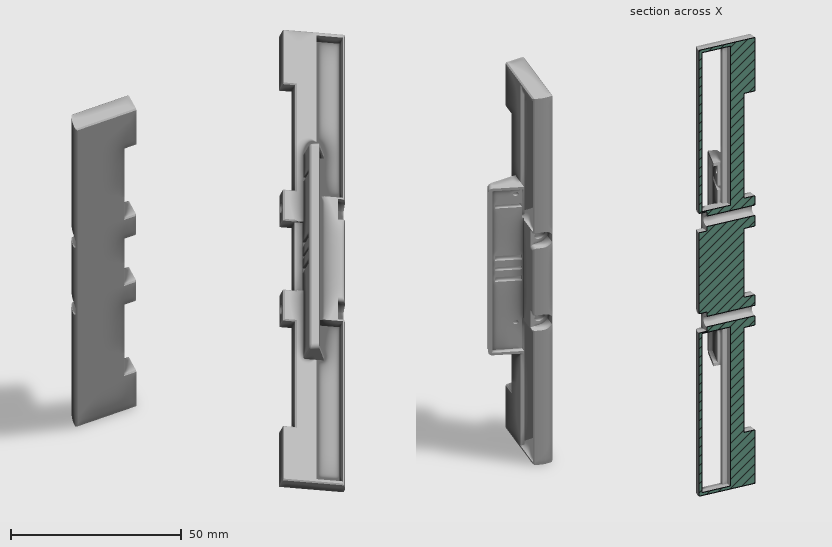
import cadquery as cq
import math

BAR_LENGTH = 142.4
BAR_THICKNESS = 6.0
BAR_WIDTH = 19.3
EDGE_CHAMFER = 0.4
SLANT = 21.0
BEVEL_END_X = 1.3
ARC_END_X = 4.85

BACK_STEP = 3.6
END_BLOCK_Z = 54.0
TAB_INNER_Z = 10.9
TAB_OUTER_Z = 20.7
STEP_BETWEEN_TABS = 1.0

POCKET_FRONT = 1.4
POCKET_BACK = 9.4
POCKET_BACK_UNDERCUT = 10.9
POCKET_DEPTH = 4.8
LIP_THICKNESS = 1.35
POCKET_END_WALL = 1.1
MID_BLOCK_HALF = 19.5

SCREW_Z = 16.0
SCREW_X = 3.0
SCREW_DIAMETER = 3.2
SEAT_DIAMETER = 6.0
SEAT_DEPTH = 2.9
SEAT_WALL_X = 5.6
SEAT_MOUTH_RADIUS = 1.2

FIN_REACH = 9.83
FIN_HALF_LENGTH = 32.4
FIN_ROOT_Y = 7.07
FIN_BACK_Y = 13.3
FIN_CORNER_RADIUS = 1.3

RECESS_DEPTH = 1.25
TIP_RIM = 1.25
END_RIM = 1.0

SLOT_START = 0.5
SLOT_END = 8.35
NARROW_SLOT = 1.3
WIDE_SLOT = 1.8
SLOT_PITCH = 4.1
END_SLOT_Z = 24.2
PIN_DIAMETER = 1.6
PIN_DEPTH = 2.0
PIN_FROM_ROOT = 2.35
PIN_Z = (28.8, -21.1)

COS = math.cos(math.radians(SLANT))
SIN = math.sin(math.radians(SLANT))
TAN = SIN / COS


def box(x0, x1, y0, y1, z0, z1):
    """Box given by its limits along each axis."""
    return cq.Workplane("XY").box(x1 - x0, y1 - y0, z1 - z0, centered=False).translate((x0, y0, z0))


def slant_box(along0, along1, depth0, depth1, z0, z1):
    """Box aligned with the fin's slanted plane.

    'along' runs in the plane from the fin root to the tip, 'depth' runs into the fin.
    """
    square = box(-along1, -along0, depth0, depth1, z0, z1)
    return square.rotate((0, 0, 0), (0, 0, 1), -SLANT).translate((0, FIN_ROOT_Y, 0))


def make_bar():
    """Rail with a bevelled and arched front, chamfered edges and steps in its back edge."""
    arc_radius = (ARC_END_X - BEVEL_END_X) / SIN
    bevel_end_y = arc_radius * (1 - COS)
    bevel_start_y = bevel_end_y + BEVEL_END_X * TAN
    half_slant = math.radians(SLANT / 2)
    arc_mid = (
        ARC_END_X - arc_radius * math.sin(half_slant),
        arc_radius * (1 - math.cos(half_slant)),
    )
    bar = (
        cq.Workplane("XY")
        .moveTo(0, BAR_WIDTH)
        .lineTo(0, bevel_start_y)
        .lineTo(BEVEL_END_X, bevel_end_y)
        .threePointArc(arc_mid, (ARC_END_X, 0))
        .lineTo(BAR_THICKNESS, 0)
        .lineTo(BAR_THICKNESS, BAR_WIDTH)
        .close()
        .extrude(BAR_LENGTH / 2, both=True)
    )
    step_y = BAR_WIDTH - BACK_STEP
    steps = (
        (-END_BLOCK_Z, -TAB_OUTER_Z),
        (-TAB_INNER_Z, TAB_INNER_Z),
        (TAB_OUTER_Z, END_BLOCK_Z),
    )
    for z0, z1 in steps:
        bar = bar.cut(box(0, BAR_THICKNESS, step_y, BAR_WIDTH, z0, z1))
    edges = bar.faces("<X or >X").edges().filter(is_chamfered)
    bar = bar.newObject(edges.vals()).chamfer(EDGE_CHAMFER)
    return bar.cut(box(0, STEP_BETWEEN_TABS, FIN_BACK_Y, step_y, -TAB_INNER_Z, TAB_INNER_Z))


def is_chamfered(edge):
    """True for every outline edge except the back edges of the two end blocks."""
    center = edge.Center()
    return center.y < BAR_WIDTH - EDGE_CHAMFER or abs(center.z) < END_BLOCK_Z


def cut_pockets(bar):
    """Two pockets, one either side of the middle block."""
    pocket_end = BAR_LENGTH / 2 - POCKET_END_WALL
    for z0, z1 in ((MID_BLOCK_HALF, pocket_end), (-pocket_end, -MID_BLOCK_HALF)):
        bar = bar.cut(box(0, POCKET_DEPTH, POCKET_FRONT, POCKET_BACK, z0, z1))
        bar = bar.cut(
            box(LIP_THICKNESS, POCKET_DEPTH, POCKET_FRONT, POCKET_BACK_UNDERCUT, z0, z1)
        )
    return bar


def cut_screw_holes(body):
    """Through holes along Y, each with a seat that is open towards -X."""
    seat_radius = SEAT_DIAMETER / 2
    for side in (1, -1):
        z = side * SCREW_Z
        plane = cq.Workplane("XZ").center(SCREW_X, z)
        hole = plane.circle(SCREW_DIAMETER / 2).extrude(-BAR_WIDTH)
        round_seat = plane.circle(seat_radius).extrude(-SEAT_DEPTH)
        opening = box(0, SCREW_X, 0, SEAT_DEPTH, z - seat_radius, z + seat_radius)
        limit = box(0, SEAT_WALL_X, 0, SEAT_DEPTH, z - seat_radius, z + seat_radius)
        seat = round_seat.union(opening).intersect(limit)
        body = body.cut(hole).cut(seat).cut(seat_mouth(side))
    return body


def seat_mouth(side):
    """Material outside a quarter round on the seat's mouth edge; side is the sign of the screw's Z."""
    edge_z = side * (SCREW_Z - SEAT_DIAMETER / 2)
    round_z = edge_z - side * SEAT_MOUTH_RADIUS
    corner = box(0, SEAT_MOUTH_RADIUS, 0, SEAT_DEPTH, min(edge_z, round_z), max(edge_z, round_z))
    rounding = (
        cq.Workplane("XZ")
        .center(SEAT_MOUTH_RADIUS, round_z)
        .circle(SEAT_MOUTH_RADIUS)
        .extrude(-SEAT_DEPTH)
    )
    return corner.cut(rounding)


def make_fin():
    """Tapered fin with a slanted front plane, a tip square to it and a chamfered back."""
    tip_front_y = FIN_ROOT_Y + FIN_REACH * TAN
    tip_back_x = -FIN_REACH + (FIN_BACK_Y - tip_front_y) * TAN
    fin = (
        cq.Workplane("XY")
        .moveTo(0, FIN_ROOT_Y)
        .lineTo(-FIN_REACH, tip_front_y)
        .lineTo(tip_back_x, FIN_BACK_Y)
        .lineTo(0, FIN_BACK_Y)
        .close()
        .extrude(FIN_HALF_LENGTH, both=True)
    )
    tip_face = fin.faces(cq.selectors.DirectionMinMaxSelector(cq.Vector(-COS, SIN, 0), True))
    fin = tip_face.edges("<Z or >Z").fillet(FIN_CORNER_RADIUS)
    back_edges = fin.faces(">Y").edges().filter(lambda edge: edge.Center().x < -EDGE_CHAMFER)
    return fin.newObject(back_edges.vals()).chamfer(EDGE_CHAMFER)


def cut_recess(body):
    """Shallow recess in the slanted plane, leaving a rim at the tip and at both ends."""
    plane_length = FIN_REACH / COS
    half = FIN_HALF_LENGTH - END_RIM
    return body.cut(slant_box(0, plane_length - TIP_RIM, 0, RECESS_DEPTH, -half, half))


def slot(z, width):
    """Cutter for one slot that goes right through the fin, square to the slanted plane."""
    through = FIN_BACK_Y - FIN_ROOT_Y
    return slant_box(SLOT_START, SLOT_END, 0, through, z - width / 2, z + width / 2)


def cut_middle_slots(body):
    """Group of three slots: a narrow one between two wide ones."""
    for z, width in ((SLOT_PITCH, WIDE_SLOT), (0, NARROW_SLOT), (-SLOT_PITCH, WIDE_SLOT)):
        body = body.cut(slot(z, width))
    return body


def cut_pin_holes(body):
    """Blind pin holes square to the recess floor."""
    for z in PIN_Z:
        pin = (
            cq.Workplane("XZ")
            .circle(PIN_DIAMETER / 2)
            .extrude(-(RECESS_DEPTH + PIN_DEPTH))
            .translate((-PIN_FROM_ROOT, 0, z))
            .rotate((0, 0, 0), (0, 0, 1), -SLANT)
            .translate((0, FIN_ROOT_Y, 0))
        )
        body = body.cut(pin)
    return body


bar = cut_pockets(make_bar())
fin = make_fin().cut(slot(END_SLOT_Z, NARROW_SLOT))
body = cut_recess(bar.union(fin))
body = cut_middle_slots(body)
body = cut_pin_holes(body)
result = cut_screw_holes(body)